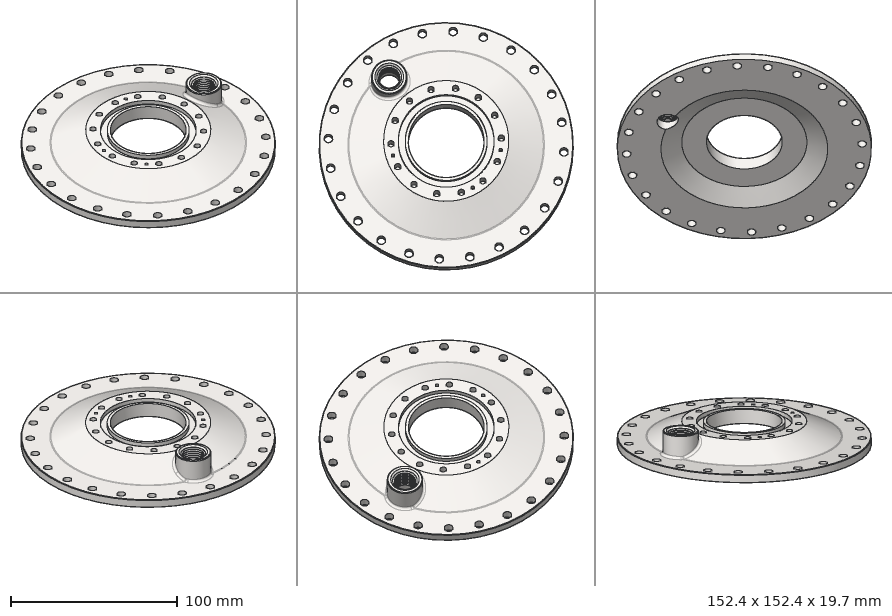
import cadquery as cq
import math

flange_diameter = 152.4
flange_thickness = 5.08
flange_edge_chamfer = 0.4
flange_hole_count = 24
flange_hole_diameter = 5.11
flange_hole_circle = 141.4

cone_base_diameter = 117.2
cone_top_diameter = 75.0
cone_top_height = 14.7
base_fillet = 1.6

hub_thickness = 9.0

bore_diameter = 45.36
groove_inner_diameter = 49.12
groove_outer_diameter = 57.45
groove_depth = 2.7

screw_hole_count = 14
hub_hole_circle = 66.3
screw_hole_diameter = 3.8
screw_hole_depth = 8.0
dowel_hole_diameter = 2.0
dowel_hole_depth = 5.0
dowel_gap_indices = (2, 6, 8)

port_offset = 51.35
port_diameter = 21.29
port_top_height = 19.68
port_edge_chamfer = 0.5
port_bore_diameter = 12.7
thread_root_diameter = 14.73
thread_pitch = 1.41
thread_flat = 0.2
thread_groove_count = 8
countersink_diameter = 17.1
countersink_depth = 1.0

first_hole_angle = 90.0
selection_margin = 0.1


def cylinder(diameter, bottom, top):
    """Upright cylinder on the Z axis between two heights."""
    return cq.Workplane("XY").workplane(offset=bottom).circle(diameter / 2).extrude(top - bottom)


def hole_ring(circle_diameter, angles, diameter, bottom, top):
    """Upright cutting cylinders at the given angles on a circle about the Z axis."""
    radius = circle_diameter / 2
    points = []
    for angle in angles:
        radians = math.radians(angle)
        points.append((radius * math.cos(radians), radius * math.sin(radians)))
    base = cq.Workplane("XY").workplane(offset=bottom)
    return base.pushPoints(points).circle(diameter / 2).extrude(top - bottom)


def make_body():
    """Flange and conical hub, with a fillet where the cone meets the flange."""
    flange = cylinder(flange_diameter, 0, flange_thickness)
    flange = flange.faces(">Z").edges().chamfer(flange_edge_chamfer)
    base_radius = cone_base_diameter / 2
    cone_profile = (
        cq.Workplane("XZ")
        .moveTo(0, 0)
        .lineTo(base_radius, 0)
        .lineTo(base_radius, flange_thickness)
        .lineTo(cone_top_diameter / 2, cone_top_height)
        .lineTo(0, cone_top_height)
        .close()
    )
    body = flange.union(cone_profile.revolve(360, (0, 0, 0), (0, 1, 0)))
    reach = base_radius + selection_margin
    base_box = cq.selectors.BoxSelector(
        (-reach, -reach, flange_thickness - selection_margin),
        (reach, reach, flange_thickness + selection_margin),
        boundingbox=True,
    )
    return body.edges(base_box).fillet(base_fillet)


def add_port(body):
    """Upright port boss, blended into the cone and the flange."""
    port = cylinder(port_diameter, flange_thickness / 2, port_top_height)
    port = port.faces(">Z").edges().chamfer(port_edge_chamfer)
    joined = body.union(port.translate((0, port_offset, 0)))
    reach = port_diameter / 2 + selection_margin
    base_box = cq.selectors.BoxSelector(
        (-reach, port_offset - reach, flange_thickness - selection_margin),
        (reach, port_offset + reach, cone_top_height),
        boundingbox=True,
    )
    return joined.edges(base_box).fillet(base_fillet)


def port_cutter():
    """Countersunk through bore with evenly spaced thread grooves cut as closed rings."""
    bore_radius = port_bore_diameter / 2
    root_radius = thread_root_diameter / 2
    flank_height = thread_pitch / 2 - thread_flat
    height = port_top_height - countersink_depth
    profile = (
        cq.Workplane("XZ")
        .moveTo(0, port_top_height)
        .lineTo(countersink_diameter / 2, port_top_height)
        .lineTo(root_radius, height)
    )
    for _ in range(thread_groove_count):
        groove_bottom = height - thread_flat
        crest_top = groove_bottom - flank_height
        crest_bottom = crest_top - thread_flat
        height -= thread_pitch
        profile = (
            profile
            .lineTo(root_radius, groove_bottom)
            .lineTo(bore_radius, crest_top)
            .lineTo(bore_radius, crest_bottom)
            .lineTo(root_radius, height)
        )
    profile = (
        profile
        .lineTo(root_radius, height - thread_flat)
        .lineTo(bore_radius, height - thread_flat - flank_height)
        .lineTo(bore_radius, 0)
        .lineTo(0, 0)
        .close()
    )
    return profile.revolve(360, (0, 0, 0), (0, 1, 0)).translate((0, port_offset, 0))


def cavity_cutter():
    """Cavity that leaves the same upright thickness under the hub face and the cone."""
    cavity_height = cone_top_height - hub_thickness
    top_radius = cone_top_diameter / 2
    cone_slope = (cone_base_diameter - cone_top_diameter) / 2 / (cone_top_height - flange_thickness)
    profile = (
        cq.Workplane("XZ")
        .moveTo(0, 0)
        .lineTo(top_radius + cavity_height * cone_slope, 0)
        .lineTo(top_radius, cavity_height)
        .lineTo(0, cavity_height)
        .close()
    )
    return profile.revolve(360, (0, 0, 0), (0, 1, 0))


def bore_cutter():
    """Central through bore and the ring groove around it."""
    groove_floor = cone_top_height - groove_depth
    groove = cylinder(groove_outer_diameter, groove_floor, cone_top_height)
    groove = groove.cut(cylinder(groove_inner_diameter, groove_floor, cone_top_height))
    return groove.union(cylinder(bore_diameter, 0, cone_top_height))


def flange_holes():
    """Through holes around the flange."""
    step = 360 / flange_hole_count
    angles = [first_hole_angle + step * index for index in range(flange_hole_count)]
    return hole_ring(flange_hole_circle, angles, flange_hole_diameter, 0, flange_thickness)


def hub_holes():
    """Blind screw holes and dowel holes in the hub face."""
    step = 360 / screw_hole_count
    screw_angles = [first_hole_angle + step * index for index in range(screw_hole_count)]
    dowel_angles = [first_hole_angle + step * (index + 0.5) for index in dowel_gap_indices]
    screws = hole_ring(hub_hole_circle, screw_angles, screw_hole_diameter,
                       cone_top_height - screw_hole_depth, cone_top_height)
    dowels = hole_ring(hub_hole_circle, dowel_angles, dowel_hole_diameter,
                       cone_top_height - dowel_hole_depth, cone_top_height)
    return screws.union(dowels)


result = (
    add_port(make_body())
    .cut(port_cutter())
    .cut(cavity_cutter())
    .cut(bore_cutter())
    .cut(flange_holes())
    .cut(hub_holes())
)